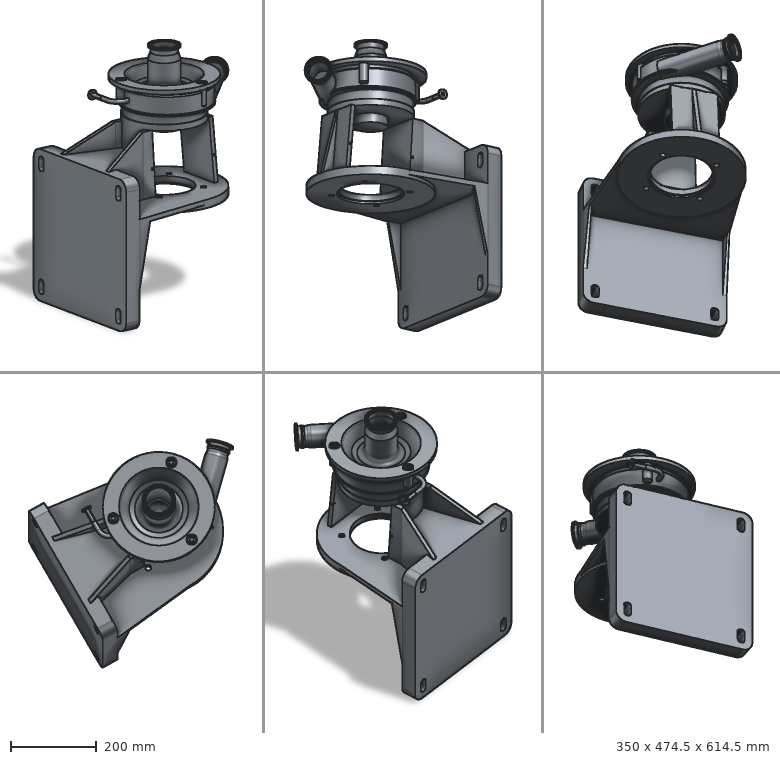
import cadquery as cq
import math


WALL_WIDTH = 350.0
WALL_HEIGHT = 370.5
WALL_THICKNESS = 40.0
WALL_FRONT_Y = -249.5
WALL_BACK_Y = WALL_FRONT_Y + WALL_THICKNESS
WALL_CORNER_RADIUS = 25.0
WALL_SLOT_WIDTH = 18.5
WALL_SLOT_LENGTH = 36.0
WALL_SLOT_PITCH_X = 291.0
WALL_SLOT_PITCH_Z = 300.0

SHELF_TOP = 271.0
SHELF_THICKNESS = 12.0
DISC_THICKNESS = 21.0
DISC_RADIUS = 150.0
DISC_HOLE_RADIUS = 73.0
DISC_RECESS_RADIUS = 78.5
DISC_RECESS_DEPTH = 5.5
DISC_BOLT_CIRCLE_RADIUS = 92.0
DISC_BOLT_HOLE_RADIUS = 7.0
LOWER_RIB_THICKNESS = 10.0
LOWER_RIB_REACH = 35.0
LOWER_RIB_FOOT_Z = 98.5

LEG_TOP = 435.0
LEG_HALF_WIDTH = 57.0
FRONT_LEG_INNER_TOP_Y = -80.0
FRONT_LEG_INNER_FOOT_Y = -69.5
GUSSET_START_Y = -108.0
GUSSET_END_Y = -234.0
GUSSET_THICKNESS = 11.0
GUSSET_SPREAD = 34.0
REAR_LEG_INNER_TOP_Y = 88.0
REAR_LEG_INNER_FOOT_Y = 103.0
REAR_LEG_THICKNESS = 11.0
REAR_RIB_FOOT_Y = 142.5
REAR_RIB_THICKNESS = 10.0
PIN_HOLE_RADIUS = 2.5
PIN_HOLE_DEPTH = 9.0
PIN_HOLE_Z = 340.0
PIN_HOLE_FRONT_Y = -79.0
PIN_HOLE_REAR_Y = 102.0

STUB_RADIUS = 39.5
STUB_BOTTOM = 413.0
BASE_FLANGE_RADIUS = 101.5
BASE_FLANGE_TOP = 450.5
LOWER_BODY_RADIUS = 99.5
CASING_CENTER = (5.0, 4.0)
CASING_RADIUS = 111.0
CASING_BOTTOM = 473.0
CASING_TOP = 525.0
CASING_TOP_CHAMFER = 3.5
CASING_LIP_RADIUS = 113.0
CASING_LIP_HEIGHT = 5.5
CASING_LIP_CHAMFER = 2.0
CASING_NECK_RADIUS = 106.5
COVER_RADIUS = 130.0
COVER_BOTTOM = 533.0
COVER_TOP = 543.0

RECESS_RIM_RADIUS = 93.0
RECESS_RIM_CHAMFER = 3.0
RECESS_FLOOR_RADIUS = 69.0
RECESS_FLOOR_Z = 517.0
RECESS_LOWEST_Z = 513.0
RECESS_FILLET = 17.0

TOTAL_HEIGHT = 614.5
SPOUT_RADIUS = 39.0
SPOUT_CONE_BOTTOM = 581.0
SPOUT_CONE_TOP = 597.0
SPOUT_NECK_RADIUS = 32.5
SPOUT_FERRULE_RADIUS = 39.0
SPOUT_FERRULE_THICKNESS = 3.5
SPOUT_BORE_RADIUS = 30.0
SPOUT_BORE_FLOOR = 491.5
BOWL_RADIUS = 24.5
BOWL_FLAT_RADIUS = 10.0
BOWL_DEPTH = 12.0
BOWL_ARC_RADIUS = 18.5

FERRULE_GROOVE_WIDTH = 2.5
FERRULE_GROOVE_DEPTH = 1.0
SPOUT_GROOVE_RADIUS = 35.5
PIPE_GROOVE_RADIUS = 29.5

SCREW_CIRCLE_RADIUS = 109.5
SCREW_ANGLES = (15, 135, 255)
SCREW_BOSS_RADIUS = 11.0
SCREW_BOSS_BOTTOM = 483.5
SCREW_BOSS_CHAMFER = 5.0
COUNTERBORE_RADIUS = 12.0
COUNTERBORE_DEPTH = 6.0
SCREW_HEAD_RADIUS = 10.0
HEX_SOCKET_WIDTH = 10.0
HEX_SOCKET_DEPTH = 4.0

PIPE_AXIS_Z = 497.0
PIPE_AXIS_OFFSET = 95.0
PIPE_LENGTH = 191.0
PIPE_RADIUS = 27.0
PIPE_NECK_RADIUS = 25.0
PIPE_BEAD_FROM_END = 12.0
PIPE_BEAD_WIDTH = 3.0
PIPE_BEAD_TAPER = 4.0
PIPE_NECK_FROM_END = 26.0
PIPE_CONE_FROM_END = 34.0
PIPE_FERRULE_RADIUS = 32.25
PIPE_FERRULE_THICKNESS = 3.5
PIPE_BORE_RADIUS = 24.0
PIPE_BORE_DEPTH = 86.0

DRAIN_Y = -145.0
DRAIN_Z = 499.0
DRAIN_RADIUS = 5.5
DRAIN_BEND_RADIUS = 29.0
DRAIN_END_X = -88.0
DRAIN_FLANGE_RADIUS = 11.5
DRAIN_FLANGE_THICKNESS = 3.5
DRAIN_BORE_RADIUS = 3.5
DRAIN_BORE_DEPTH = 37.0
DRAIN_ROOT_Y = -92.0


def cylinder(radius, bottom, top, center=(0, 0)):
    return cq.Workplane("XY", origin=(*center, bottom)).circle(radius).extrude(top - bottom)


def plan_prism(points, bottom, top):
    return cq.Workplane("XY", origin=(0, 0, bottom)).polyline(points).close().extrude(top - bottom)


def side_prism(points, x_start, x_end):
    """Extrude a (y, z) outline along X."""
    return cq.Workplane("YZ", origin=(x_start, 0, 0)).polyline(points).close().extrude(x_end - x_start)


def mirrored(points):
    return [(-x, y) for x, y in points]


def make_wall_plate():
    plate = (
        cq.Workplane("XY")
        .box(WALL_WIDTH, WALL_THICKNESS, WALL_HEIGHT)
        .edges("|Y")
        .fillet(WALL_CORNER_RADIUS)
        .faces("<Y")
        .workplane(centerOption="CenterOfBoundBox")
        .rarray(WALL_SLOT_PITCH_X, WALL_SLOT_PITCH_Z, 2, 2)
        .slot2D(WALL_SLOT_LENGTH, WALL_SLOT_WIDTH, 90)
        .cutThruAll()
    )
    return plate.translate((0, WALL_FRONT_Y + WALL_THICKNESS / 2, WALL_HEIGHT / 2))


def make_shelf():
    half_wall = WALL_WIDTH / 2
    outline = [
        (-DISC_RADIUS, 0),
        (-half_wall, WALL_BACK_Y),
        (half_wall, WALL_BACK_Y),
        (DISC_RADIUS, 0),
    ]
    shelf_bottom = SHELF_TOP - SHELF_THICKNESS
    disc_bottom = SHELF_TOP - DISC_THICKNESS
    shelf = plan_prism(outline, shelf_bottom, SHELF_TOP)
    shelf = shelf.union(cylinder(DISC_RADIUS, disc_bottom, SHELF_TOP))
    shelf = shelf.cut(cylinder(DISC_HOLE_RADIUS, disc_bottom, SHELF_TOP))
    shelf = shelf.cut(cylinder(DISC_RECESS_RADIUS, disc_bottom, disc_bottom + DISC_RECESS_DEPTH))
    bolt_holes = (
        cq.Workplane("XY", origin=(0, 0, disc_bottom))
        .polarArray(DISC_BOLT_CIRCLE_RADIUS, 45, 360, 4)
        .circle(DISC_BOLT_HOLE_RADIUS)
        .extrude(DISC_THICKNESS)
    )
    shelf = shelf.cut(bolt_holes)

    rib_outline = [
        (WALL_BACK_Y, shelf_bottom),
        (WALL_BACK_Y + LOWER_RIB_REACH, shelf_bottom),
        (WALL_BACK_Y, LOWER_RIB_FOOT_Z),
    ]
    rib = side_prism(rib_outline, half_wall - LOWER_RIB_THICKNESS, half_wall)
    rib = rib.intersect(plan_prism(outline, LOWER_RIB_FOOT_Z, shelf_bottom))
    return shelf.union(rib).union(rib.mirror("YZ"))


def make_front_leg():
    """Curved leg with two splayed gussets and a filled seat level with the wall plate."""
    inner_x = LEG_HALF_WIDTH - GUSSET_THICKNESS
    end_x = LEG_HALF_WIDTH + GUSSET_SPREAD
    gusset_plan = [
        (LEG_HALF_WIDTH, FRONT_LEG_INNER_FOOT_Y),
        (LEG_HALF_WIDTH, GUSSET_START_Y),
        (end_x, GUSSET_END_Y),
        (end_x - GUSSET_THICKNESS, GUSSET_END_Y),
        (inner_x, GUSSET_START_Y),
        (inner_x - GUSSET_THICKNESS, FRONT_LEG_INNER_FOOT_Y),
    ]
    seat_plan = [
        (inner_x, FRONT_LEG_INNER_TOP_Y),
        (inner_x, GUSSET_START_Y),
        (end_x - GUSSET_THICKNESS, GUSSET_END_Y),
    ]
    seat_plan += reversed(mirrored(seat_plan))
    core = cylinder(BASE_FLANGE_RADIUS, SHELF_TOP, LEG_TOP).intersect(
        side_prism([(-BASE_FLANGE_RADIUS, SHELF_TOP), (0, SHELF_TOP), (0, LEG_TOP),
                    (-BASE_FLANGE_RADIUS, LEG_TOP)], -LEG_HALF_WIDTH, LEG_HALF_WIDTH)
    )
    leg = (
        core.union(plan_prism(gusset_plan, SHELF_TOP, LEG_TOP))
        .union(plan_prism(mirrored(gusset_plan), SHELF_TOP, LEG_TOP))
        .union(plan_prism(seat_plan, SHELF_TOP, WALL_HEIGHT))
    )
    side_outline = [
        (FRONT_LEG_INNER_FOOT_Y, SHELF_TOP),
        (FRONT_LEG_INNER_TOP_Y, LEG_TOP),
        (GUSSET_START_Y, LEG_TOP),
        (GUSSET_END_Y, WALL_HEIGHT),
        (GUSSET_END_Y, SHELF_TOP),
    ]
    return leg.intersect(side_prism(side_outline, -end_x, end_x))


def make_rear_leg():
    """Leaning flat leg, stiffened by a central rib behind it."""
    outer_top_y = REAR_LEG_INNER_TOP_Y + REAR_LEG_THICKNESS
    outer_foot_y = REAR_LEG_INNER_FOOT_Y + REAR_LEG_THICKNESS
    wall_outline = [
        (REAR_LEG_INNER_FOOT_Y, SHELF_TOP),
        (REAR_LEG_INNER_TOP_Y, LEG_TOP),
        (outer_top_y, LEG_TOP),
        (outer_foot_y, SHELF_TOP),
    ]
    rib_outline = [
        (REAR_LEG_INNER_FOOT_Y, SHELF_TOP),
        (REAR_LEG_INNER_TOP_Y, LEG_TOP),
        (outer_top_y, LEG_TOP),
        (REAR_RIB_FOOT_Y, SHELF_TOP),
    ]
    wall = side_prism(wall_outline, -LEG_HALF_WIDTH, LEG_HALF_WIDTH)
    return wall.union(side_prism(rib_outline, -REAR_RIB_THICKNESS / 2, REAR_RIB_THICKNESS / 2))


def make_pin_holes():
    """Blind holes in the side faces of both legs."""
    holes = cq.Workplane("XY")
    for x_start in (-LEG_HALF_WIDTH, LEG_HALF_WIDTH - PIN_HOLE_DEPTH):
        holes = holes.union(
            cq.Workplane("YZ", origin=(x_start, 0, 0))
            .pushPoints([(PIN_HOLE_FRONT_Y, PIN_HOLE_Z), (PIN_HOLE_REAR_Y, PIN_HOLE_Z)])
            .circle(PIN_HOLE_RADIUS)
            .extrude(PIN_HOLE_DEPTH)
        )
    return holes


def make_pump_body():
    casing = cylinder(CASING_RADIUS, CASING_BOTTOM, CASING_TOP, CASING_CENTER)
    casing = casing.faces(">Z").edges().chamfer(CASING_TOP_CHAMFER)
    lip = cylinder(CASING_LIP_RADIUS, CASING_BOTTOM, CASING_BOTTOM + CASING_LIP_HEIGHT, CASING_CENTER)
    lip = lip.faces("<Z").edges().chamfer(CASING_LIP_CHAMFER)
    return (
        cylinder(STUB_RADIUS, STUB_BOTTOM, LEG_TOP)
        .union(cylinder(BASE_FLANGE_RADIUS, LEG_TOP, BASE_FLANGE_TOP))
        .union(cylinder(LOWER_BODY_RADIUS, BASE_FLANGE_TOP, CASING_BOTTOM))
        .union(casing)
        .union(lip)
        .union(cylinder(CASING_NECK_RADIUS, CASING_TOP, COVER_BOTTOM, CASING_CENTER))
        .union(cylinder(COVER_RADIUS, COVER_BOTTOM, COVER_TOP))
    )


def make_cover_recess():
    """Ring-shaped dish around the spout, rounded up into the spout wall."""
    rim_inner_radius = RECESS_RIM_RADIUS - RECESS_RIM_CHAMFER
    fillet_radius = RECESS_FILLET
    fillet_foot = SPOUT_RADIUS + fillet_radius
    fillet_mid = fillet_radius * (1 - math.sqrt(0.5))
    return (
        cq.Workplane("XZ")
        .moveTo(RECESS_RIM_RADIUS, COVER_TOP)
        .lineTo(rim_inner_radius, COVER_TOP - RECESS_RIM_CHAMFER)
        .lineTo(RECESS_FLOOR_RADIUS, RECESS_FLOOR_Z)
        .lineTo(fillet_foot, RECESS_LOWEST_Z)
        .threePointArc(
            (SPOUT_RADIUS + fillet_mid, RECESS_LOWEST_Z + fillet_mid),
            (SPOUT_RADIUS, RECESS_LOWEST_Z + fillet_radius),
        )
        .lineTo(SPOUT_RADIUS, COVER_TOP)
        .close()
        .revolve(360, (0, 0, 0), (0, 1, 0))
    )


def make_spout():
    ferrule_bottom = TOTAL_HEIGHT - SPOUT_FERRULE_THICKNESS
    outline = [
        (0, COVER_BOTTOM),
        (SPOUT_RADIUS, COVER_BOTTOM),
        (SPOUT_RADIUS, SPOUT_CONE_BOTTOM),
        (SPOUT_NECK_RADIUS, SPOUT_CONE_TOP),
        (SPOUT_NECK_RADIUS, ferrule_bottom),
        (SPOUT_FERRULE_RADIUS, ferrule_bottom),
        (SPOUT_FERRULE_RADIUS, TOTAL_HEIGHT),
        (0, TOTAL_HEIGHT),
    ]
    return cq.Workplane("XZ").polyline(outline).close().revolve(360, (0, 0, 0), (0, 1, 0))


def make_spout_bore():
    """Straight bore that ends in a narrower, rounded bowl with a flat bottom."""
    bowl_bottom = SPOUT_BORE_FLOOR - BOWL_DEPTH
    bowl = (
        cq.Workplane("XZ")
        .moveTo(0, SPOUT_BORE_FLOOR)
        .lineTo(BOWL_RADIUS, SPOUT_BORE_FLOOR)
        .radiusArc((BOWL_FLAT_RADIUS, bowl_bottom), BOWL_ARC_RADIUS)
        .lineTo(0, bowl_bottom)
        .close()
        .revolve(360, (0, 0, 0), (0, 1, 0))
    )
    return cylinder(SPOUT_BORE_RADIUS, SPOUT_BORE_FLOOR, TOTAL_HEIGHT).union(bowl)


def make_ferrule_groove(outer_radius, face_z):
    """Shallow gasket groove in the end face of a ferrule."""
    floor_z = face_z - FERRULE_GROOVE_DEPTH
    groove = cylinder(outer_radius, floor_z, face_z)
    return groove.cut(cylinder(outer_radius - FERRULE_GROOVE_WIDTH, floor_z, face_z))


def screw_center(angle):
    turn = math.radians(angle)
    return (SCREW_CIRCLE_RADIUS * math.cos(turn), SCREW_CIRCLE_RADIUS * math.sin(turn))


def make_screw_boss(angle):
    boss = cylinder(SCREW_BOSS_RADIUS, SCREW_BOSS_BOTTOM, COVER_BOTTOM, screw_center(angle))
    return boss.faces("<Z").edges().chamfer(SCREW_BOSS_CHAMFER)


def make_screw_cut(angle):
    """Gap around a sunk screw head, and the hexagon socket in the head."""
    center = screw_center(angle)
    floor_z = COVER_TOP - COUNTERBORE_DEPTH
    gap = cylinder(COUNTERBORE_RADIUS, floor_z, COVER_TOP, center)
    gap = gap.cut(cylinder(SCREW_HEAD_RADIUS, floor_z, COVER_TOP, center))
    socket = (
        cq.Workplane("XY", origin=(*center, COVER_TOP - HEX_SOCKET_DEPTH))
        .polygon(6, HEX_SOCKET_WIDTH, circumscribed=True)
        .extrude(HEX_SOCKET_DEPTH)
    )
    return gap.union(socket)


def make_discharge_pipe():
    """Stepped pipe along local +Z, from its root to the ferrule at its open end."""
    ferrule_start = PIPE_LENGTH - PIPE_FERRULE_THICKNESS
    bead_end = PIPE_LENGTH - PIPE_BEAD_FROM_END
    bead_start = bead_end - PIPE_BEAD_WIDTH
    outline = [
        (0, 0),
        (PIPE_RADIUS, 0),
        (PIPE_RADIUS, PIPE_LENGTH - PIPE_CONE_FROM_END),
        (PIPE_NECK_RADIUS, PIPE_LENGTH - PIPE_NECK_FROM_END),
        (PIPE_NECK_RADIUS, bead_start - PIPE_BEAD_TAPER),
        (PIPE_RADIUS, bead_start),
        (PIPE_RADIUS, bead_end),
        (PIPE_NECK_RADIUS, bead_end),
        (PIPE_NECK_RADIUS, ferrule_start),
        (PIPE_FERRULE_RADIUS, ferrule_start),
        (PIPE_FERRULE_RADIUS, PIPE_LENGTH),
        (0, PIPE_LENGTH),
    ]
    return cq.Workplane("XZ").polyline(outline).close().revolve(360, (0, 0, 0), (0, 1, 0))


def place_on_discharge_axis(shape):
    """Turn local +Z into the direction (-1, 1, 0), and shift it out to the tangent line."""
    offset = PIPE_AXIS_OFFSET * math.sqrt(0.5)
    return (
        shape.rotate((0, 0, 0), (1, 0, 0), -90)
        .rotate((0, 0, 0), (0, 0, 1), 45)
        .translate((offset, offset, PIPE_AXIS_Z))
    )


def make_drain_pipe():
    bend_mid = DRAIN_BEND_RADIUS * math.sqrt(0.5)
    path = (
        cq.Workplane("XY", origin=(0, 0, DRAIN_Z))
        .moveTo(DRAIN_END_X, DRAIN_Y)
        .lineTo(-DRAIN_BEND_RADIUS, DRAIN_Y)
        .threePointArc(
            (-DRAIN_BEND_RADIUS + bend_mid, DRAIN_Y + DRAIN_BEND_RADIUS - bend_mid),
            (0, DRAIN_Y + DRAIN_BEND_RADIUS),
        )
        .lineTo(0, DRAIN_ROOT_Y)
    )
    end_plane = cq.Workplane("YZ", origin=(DRAIN_END_X, DRAIN_Y, DRAIN_Z))
    tube = end_plane.circle(DRAIN_RADIUS).sweep(path)
    flange = end_plane.circle(DRAIN_FLANGE_RADIUS).extrude(DRAIN_FLANGE_THICKNESS)
    bore = end_plane.circle(DRAIN_BORE_RADIUS).extrude(DRAIN_BORE_DEPTH)
    return tube.union(flange).cut(bore)


stand = make_wall_plate().union(make_shelf()).union(make_front_leg()).union(make_rear_leg())
stand = stand.cut(make_pin_holes())

pump = make_pump_body()
for screw_angle in SCREW_ANGLES:
    pump = pump.union(make_screw_boss(screw_angle))
pump = pump.union(place_on_discharge_axis(make_discharge_pipe()))
pump = pump.cut(make_cover_recess())
pump = pump.union(make_spout())
for screw_angle in SCREW_ANGLES:
    pump = pump.cut(make_screw_cut(screw_angle))
pump = pump.cut(make_spout_bore())
pump = pump.cut(make_ferrule_groove(SPOUT_GROOVE_RADIUS, TOTAL_HEIGHT))
pipe_bore = cylinder(PIPE_BORE_RADIUS, PIPE_LENGTH - PIPE_BORE_DEPTH, PIPE_LENGTH)
pipe_cut = pipe_bore.union(make_ferrule_groove(PIPE_GROOVE_RADIUS, PIPE_LENGTH))
pump = pump.cut(place_on_discharge_axis(pipe_cut))
pump = pump.union(make_drain_pipe())

result = stand.union(pump)